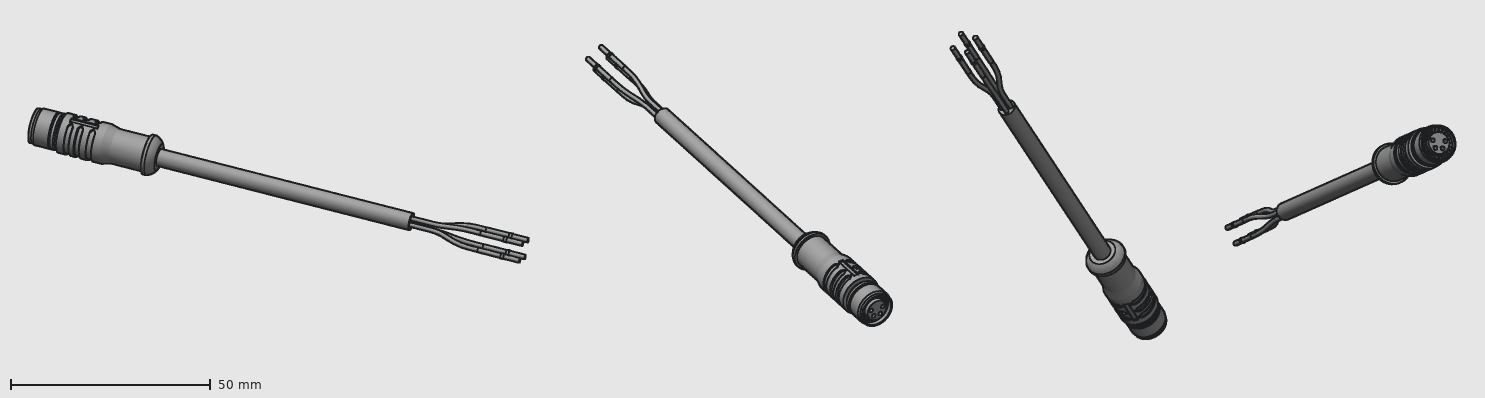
import cadquery as cq
import math

total_length = 131.0

nose_d = 9.0
nut_d = 9.5
nose_end = 0.8
nut_start = 1.5
nut_groove_start = 5.4
nut_groove_end = 5.8
nut_groove_d = 9.2
nut_chamfer_start = 6.7
nut_end = 7.1
neck_d = 5.6

grip_start = 7.7
grip_d = 10.3
grip_cone_start = 19.4
barrel_start = 21.7
barrel_d = 9.0
flange_start = 30.4
flange_end = 31.3
flange_d = grip_d
cap_end = 33.4
cap_end_d = 7.0
cap_bulge = 0.3

groove_floor_d = nut_d
grooves = (
    (9.7, 10.9, 9.7, 11.1),
    (12.6, 13.6, 12.3, 13.9),
    (15.6, 17.0, 15.6, 17.0),
)
groove_tip_y = 0.9
groove_tip_length = 1.0
slot_width = 1.3

insert_d = 5.6
recess_d = 8.2
recess_depth = 1.3
notch_count = 24
notch_width = 0.3
notch_depth = 0.4
contact_hole_d = 1.07
contact_hole_depth = 2.6
contact_points = ((1.7, 0.59), (-1.7, 0.59), (0.98, -1.3), (-0.98, -1.3))

cable_d = 4.5
cable_end = 100.8
wire_d = 1.2
wire_root_radius = 1.11
wire_root_depth = 0.7
bend_start = 106.3
bend_joint = 111.0
bend_end = 117.5
sleeve_start = 119.8
sleeve_d = 1.25
collar_start = 126.0
collar_end = 126.8
collar_d = 1.5
wire_end_radial = 3.0
wire_end_offset = 0.85
wire_count = 4


def disc(diameter, start, end):
    """Solid cylinder on the part axis between two X positions."""
    return cq.Workplane("YZ", origin=(start, 0, 0)).circle(diameter / 2).extrude(end - start)


def ring(outer_d, inner_d, start, end):
    return disc(outer_d, start, end).cut(disc(inner_d, start, end))


def connector_and_cable():
    """Turned profile of nut, neck, grip, barrel, flange, rounded cap and cable."""
    profile = (
        cq.Workplane("XY")
        .moveTo(0, 0)
        .lineTo(0, nose_d / 2)
        .lineTo(nose_end, nose_d / 2)
        .lineTo(nut_start, nut_d / 2)
        .lineTo(nut_groove_start, nut_d / 2)
        .lineTo(nut_groove_start, nut_groove_d / 2)
        .lineTo(nut_groove_end, nut_groove_d / 2)
        .lineTo(nut_groove_end, nut_d / 2)
        .lineTo(nut_chamfer_start, nut_d / 2)
        .lineTo(nut_end, nose_d / 2)
        .lineTo(nut_end, neck_d / 2)
        .lineTo(grip_start, neck_d / 2)
        .lineTo(grip_start, grip_d / 2)
        .lineTo(grip_cone_start, grip_d / 2)
        .lineTo(barrel_start, barrel_d / 2)
        .lineTo(flange_start, barrel_d / 2)
        .lineTo(flange_start, flange_d / 2)
        .lineTo(flange_end, flange_d / 2)
        .sagittaArc((cap_end, cap_end_d / 2), cap_bulge)
        .lineTo(cap_end, cable_d / 2)
        .lineTo(cable_end, cable_d / 2)
        .lineTo(cable_end, 0)
        .close()
    )
    return profile.revolve(360, (0, 0, 0), (1, 0, 0))


def finger_groove(floor_start, floor_end, start, end, side):
    """Groove round one side (+1 or -1 in Y) whose ends taper to a point."""
    band = (
        cq.Workplane("XY")
        .moveTo(floor_start, groove_floor_d / 2)
        .lineTo(floor_end, groove_floor_d / 2)
        .lineTo(end, grip_d / 2)
        .lineTo(end, grip_d)
        .lineTo(start, grip_d)
        .lineTo(start, grip_d / 2)
        .close()
        .revolve(360, (0, 0, 0), (1, 0, 0))
    )
    shoulder_y = side * (groove_tip_y + groove_tip_length)
    outline = (
        cq.Workplane("XY", origin=(0, 0, -grip_d))
        .moveTo((start + end) / 2, side * groove_tip_y)
        .lineTo(end, shoulder_y)
        .lineTo(end, side * grip_d)
        .lineTo(start, side * grip_d)
        .lineTo(start, shoulder_y)
        .close()
        .extrude(2 * grip_d)
    )
    return band.intersect(outline)


def grip_slots():
    """Straight slots along the top and bottom of the grip."""
    start = grooves[0][0]
    end = grooves[-1][1]
    bar = cq.Workplane("XY").box(end - start, slot_width, 2 * grip_d)
    bar = bar.translate(((start + end) / 2, 0, 0))
    return ring(2 * grip_d, groove_floor_d, start, end).intersect(bar)


def face_notches():
    """Evenly spaced radial notches in the recess floor around the contact insert."""
    length = (recess_d - insert_d) / 2
    middle_radius = (recess_d + insert_d) / 4
    half_pitch = 180 / notch_count
    return (
        cq.Workplane("YZ", origin=(recess_depth, 0, 0))
        .polarArray(middle_radius, half_pitch, 360, notch_count)
        .rect(length, notch_width)
        .extrude(notch_depth)
    )


def wire(index):
    """One wire, straight in the bundle, then bent outwards and straight again."""
    root = cable_end - wire_root_depth
    rise = wire_end_radial - wire_root_radius
    shift = math.hypot(rise, wire_end_offset)
    bend_length = bend_end - bend_start
    joint_length = bend_joint - bend_start
    joint_shift = shift * joint_length / bend_length
    wire_plane = cq.Plane(
        origin=(bend_start, 0, wire_root_radius),
        xDir=(1, 0, 0),
        normal=(0, -rise, -wire_end_offset),
    )
    path = (
        cq.Workplane(wire_plane)
        .moveTo(root - bend_start, 0)
        .lineTo(0, 0)
        .tangentArcPoint((joint_length, joint_shift), relative=False)
        .tangentArcPoint((bend_length, shift), relative=False)
        .lineTo(sleeve_start - bend_start, shift)
    )
    shape = cq.Workplane("YZ", origin=(root, 0, wire_root_radius)).circle(wire_d / 2).sweep(path)
    sleeve = disc(sleeve_d, sleeve_start, total_length)
    collar = disc(collar_d, collar_start, collar_end)
    shape = shape.union(sleeve.union(collar).translate((0, -wire_end_offset, wire_end_radial)))
    return shape.rotate((0, 0, 0), (1, 0, 0), index * 360 / wire_count)


result = connector_and_cable()

for groove in grooves:
    for side in (1, -1):
        result = result.cut(finger_groove(*groove, side))
result = result.cut(grip_slots())

result = result.cut(ring(recess_d, insert_d, 0, recess_depth))
result = result.cut(face_notches())
contact_holes = cq.Workplane("YZ").pushPoints(contact_points)
result = result.cut(contact_holes.circle(contact_hole_d / 2).extrude(contact_hole_depth))

for wire_index in range(wire_count):
    result = result.union(wire(wire_index))